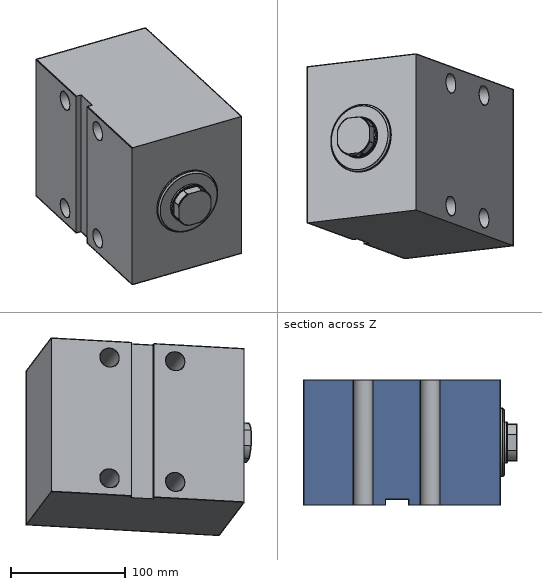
import cadquery as cq

LENGTH = 172.6
WIDTH = 110.0
HEIGHT = 140.0
EDGE_CHAMFER = 0.4

SLOT_START = 72.0
SLOT_WIDTH = 20.0
SLOT_DEPTH = 5.0

HOLE_DIAMETER = 17.2
FIRST_HOLE_X = 52.2
HOLE_SPACING_X = 58.7
HOLE_SPACING_Z = 110.0

GLAND_DIAMETER = 60.0
GLAND_THICKNESS = 3.4
GLAND_CHAMFER = 1.5

TOTAL_LENGTH = 187.0
ROD_DIAMETER = 36.3
COLLAR_LENGTH = 2.8
COLLAR_CHAMFER = 0.7
END_DIAMETER = 35.2
END_ACROSS_FLATS = 32.2
END_CHAMFER = 0.5

ROD_LENGTH = TOTAL_LENGTH - LENGTH
END_START = GLAND_THICKNESS + COLLAR_LENGTH
MOUNTING_FACE_Y = -WIDTH / 2


def along_x(start):
    """Workplane across the rod axis, at a distance from the housing end face."""
    return cq.Workplane("YZ", origin=(LENGTH + start, 0, 0))


def make_housing():
    """Block with a cross slot and four through holes; it starts at X = 0."""
    block = cq.Workplane("XY").box(LENGTH, WIDTH, HEIGHT).translate((LENGTH / 2, 0, 0))
    block = block.faces("<Y").edges("|X").chamfer(EDGE_CHAMFER)

    slot = cq.Workplane("XY").box(SLOT_WIDTH, 2 * SLOT_DEPTH, HEIGHT)
    slot = slot.translate((SLOT_START + SLOT_WIDTH / 2, MOUNTING_FACE_Y, 0))

    hole_centre_x = FIRST_HOLE_X + HOLE_SPACING_X / 2
    holes = (
        cq.Workplane("XZ", origin=(hole_centre_x, WIDTH / 2, 0))
        .rarray(HOLE_SPACING_X, HOLE_SPACING_Z, 2, 2)
        .circle(HOLE_DIAMETER / 2)
        .extrude(WIDTH)
    )
    return block.cut(slot).cut(holes)


def make_gland():
    """Ring around the rod, flat against the housing end face."""
    disc = along_x(0).circle(GLAND_DIAMETER / 2).extrude(GLAND_THICKNESS)
    disc = disc.faces(">X").edges().chamfer(GLAND_CHAMFER)
    bore = along_x(0).circle(ROD_DIAMETER / 2).extrude(GLAND_THICKNESS)
    return disc.cut(bore)


def make_rod():
    """Rod from the housing end face: a round collar, then an end with four wrench flats."""
    collar = along_x(0).circle(ROD_DIAMETER / 2).extrude(END_START)
    collar = collar.faces(">X").edges().chamfer(COLLAR_CHAMFER)

    end_length = ROD_LENGTH - END_START
    end = along_x(END_START).circle(END_DIAMETER / 2).extrude(end_length)
    end = end.faces(">X").edges().chamfer(END_CHAMFER)
    flats = along_x(END_START).rect(END_ACROSS_FLATS, END_ACROSS_FLATS).extrude(end_length)
    return collar.union(end.intersect(flats))


housing = make_housing()
gland = make_gland()
rod = make_rod()
result = cq.Compound.makeCompound([housing.val(), gland.val(), rod.val()])